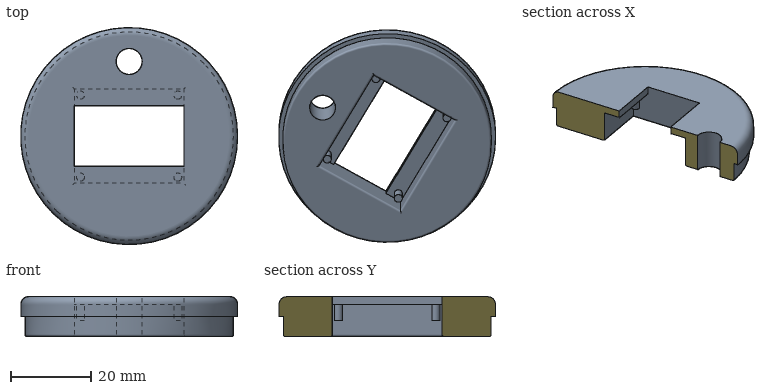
import cadquery as cq

total_height = 10.0
rim_diameter = 54.0
rim_height = 5.0
rim_fillet = 2.0
plug_diameter = 51.85
bottom_fillet = 0.5

window_length = 27.2
window_width = 15.0
top_thickness = 2.0
pocket_width = 23.4

hole_diameter = 6.4
hole_offset = 18.55

peg_diameter = 2.0
peg_length = 4.0
peg_inset = 1.5

plug_height = total_height - rim_height
pocket_depth = total_height - top_thickness


def cover_body():
    """Round cover: a wide rim above a narrower plug, solid throughout."""
    plug = cq.Workplane("XY").circle(plug_diameter / 2).extrude(plug_height)
    rim = (
        cq.Workplane("XY")
        .workplane(offset=plug_height)
        .circle(rim_diameter / 2)
        .extrude(rim_height)
        .faces(">Z")
        .edges()
        .fillet(rim_fillet)
    )
    return plug.union(rim)


def window():
    """Rectangular opening through the full height."""
    return cq.Workplane("XY").rect(window_length, window_width).extrude(total_height)


def pocket():
    """Recess below the top plate, open at the bottom."""
    return cq.Workplane("XY").rect(window_length, pocket_width).extrude(pocket_depth)


def round_hole():
    """Through hole beside the window."""
    return (
        cq.Workplane("XY")
        .center(0, hole_offset)
        .circle(hole_diameter / 2)
        .extrude(total_height)
    )


def pegs():
    """Four pegs hanging from the top plate, one in each pocket corner."""
    spacing_x = window_length - 2 * peg_inset
    spacing_y = pocket_width - 2 * peg_inset
    return (
        cq.Workplane("XY")
        .workplane(offset=pocket_depth)
        .rect(spacing_x, spacing_y, forConstruction=True)
        .vertices()
        .circle(peg_diameter / 2)
        .extrude(-peg_length)
    )


hollow_cover = cover_body().cut(pocket())
hollow_cover = hollow_cover.faces("<Z").edges().fillet(bottom_fillet)

result = hollow_cover.cut(window()).cut(round_hole()).union(pegs())